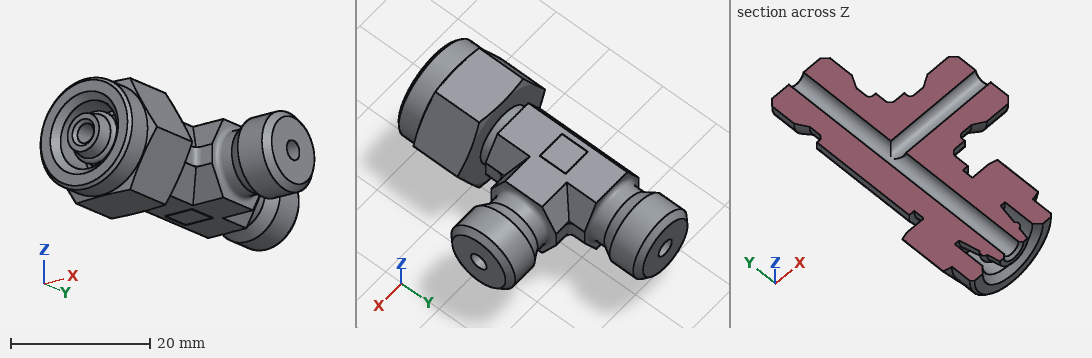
import cadquery as cq
import math


HUB_HEIGHT = 12.0
HUB_WIDTH = 12.15
HUB_REACH = 9.0
HUB_REAR = 9.55
CORNER_FILLET = 1.0

THREAD_RADIUS = HUB_HEIGHT / 2
END_REACH = 19.0
END_CHAMFER = 1.0
THREAD_LENGTH = 5.4
NECK_RADIUS = 4.85
RUNOUT_ANGLE = 30
NECK_FILLET = 0.75

PAD_X = 4.93
PAD_Y = 4.8
PAD_HEIGHT = 0.1

NUT_FLATS = 17.0
NUT_BACK = 11.4
NUT_HEX_END = 20.3
NUT_FACE = 24.37
NUT_CORNER_ANGLE = 15
NUT_STEM_RADIUS = 5.05
COLLAR_RADIUS = 8.35
COLLAR_CHAMFER = 0.5
NUT_BORE_RADIUS = 5.15
NUT_BORE_CHAMFER = 1.05

CONE_TIP = 24.6
CONE_TIP_RADIUS = 2.88
CONE_ROOT_RADIUS = 4.3
CONE_ANGLE = 12
CONE_ROOT = CONE_TIP - (CONE_ROOT_RADIUS - CONE_TIP_RADIUS) / math.tan(math.radians(CONE_ANGLE))
RING_CENTER_RADIUS = 3.23
RING_THICKNESS = 1.4
RING_SETBACK = 2.8

PASSAGE_RADIUS = 1.5
PASSAGE_CHAMFER = 0.52


def tangent(angle):
    return math.tan(math.radians(angle))


def turned(profile):
    """Solid turned about the Y axis from (radius, y) points."""
    return cq.Workplane("XY").polyline(profile).close().revolve(360, (0, 0, 0), (0, 1, 0))


def rod(radius, start, end):
    """Cylinder on the Y axis between two positions."""
    return turned([(0, start), (radius, start), (radius, end), (0, end)])


def as_branch(shape):
    """Turn a shape lying along +Y so that it points to +X."""
    return shape.rotate((0, 0, 0), (0, 0, 1), -90)


def hub_bar(start, end):
    """Hexagonal bar along Y with flats on top and bottom and cut side corners."""
    hexagon_diameter = 2 * HUB_HEIGHT / math.sqrt(3)
    bar = cq.Workplane("XZ").polygon(6, hexagon_diameter).extrude(start - end)
    cutter = cq.Workplane("XY").box(HUB_WIDTH, end - start, HUB_HEIGHT)
    return bar.translate((0, start, 0)).intersect(cutter.translate((0, (start + end) / 2, 0)))


def corner_web(side):
    """Concave fillet in the corner between the side flats, on the +Y or -Y side."""
    flat = HUB_WIDTH / 2
    half_height = HUB_HEIGHT - flat * math.sqrt(3)
    return (
        cq.Workplane("XY", origin=(0, 0, -half_height))
        .moveTo(flat, side * flat)
        .lineTo(flat + CORNER_FILLET, side * flat)
        .radiusArc((flat, side * (flat + CORNER_FILLET)), side * CORNER_FILLET)
        .close()
        .extrude(2 * half_height)
    )


def threaded_end():
    """Turned neck and plain thread body along +Y, seated on the hub shoulder."""
    thread_start = END_REACH - THREAD_LENGTH
    runout_start = thread_start - (THREAD_RADIUS - NECK_RADIUS) / tangent(RUNOUT_ANGLE)
    return (
        cq.Workplane("XY")
        .moveTo(0, 0)
        .lineTo(NECK_RADIUS, 0)
        .lineTo(NECK_RADIUS, HUB_REACH)
        .lineTo(NECK_RADIUS + NECK_FILLET, HUB_REACH)
        .radiusArc((NECK_RADIUS, HUB_REACH + NECK_FILLET), NECK_FILLET)
        .lineTo(NECK_RADIUS, runout_start)
        .lineTo(THREAD_RADIUS, thread_start)
        .lineTo(THREAD_RADIUS, END_REACH - END_CHAMFER)
        .lineTo(THREAD_RADIUS - END_CHAMFER, END_REACH)
        .lineTo(0, END_REACH)
        .close()
        .revolve(360, (0, 0, 0), (0, 1, 0))
    )


def nut():
    """Hexagon with bevelled corners and a round collar, before hollowing."""
    corner_radius = NUT_FLATS / math.sqrt(3)
    flat_radius = NUT_FLATS / 2
    bevel = (corner_radius - flat_radius) * tangent(NUT_CORNER_ANGLE)
    hexagon = (
        cq.Workplane("XZ", origin=(0, -NUT_BACK, 0))
        .polygon(6, 2 * corner_radius)
        .extrude(NUT_HEX_END - NUT_BACK)
    )
    bevel_envelope = turned([
        (0, -NUT_BACK),
        (flat_radius, -NUT_BACK),
        (corner_radius, -NUT_BACK - bevel),
        (corner_radius, -NUT_HEX_END + bevel),
        (flat_radius, -NUT_HEX_END),
        (0, -NUT_HEX_END),
    ])
    collar = turned([
        (0, -NUT_BACK),
        (COLLAR_RADIUS, -NUT_BACK),
        (COLLAR_RADIUS, -NUT_FACE + COLLAR_CHAMFER),
        (COLLAR_RADIUS - COLLAR_CHAMFER, -NUT_FACE),
        (0, -NUT_FACE),
    ])
    return hexagon.intersect(bevel_envelope).union(collar)


def nut_cavity():
    """Countersunk bore of the nut, down to the root of the sealing cone."""
    return turned([
        (0, -CONE_ROOT),
        (NUT_BORE_RADIUS, -CONE_ROOT),
        (NUT_BORE_RADIUS, -NUT_FACE + NUT_BORE_CHAMFER),
        (NUT_BORE_RADIUS + NUT_BORE_CHAMFER, -NUT_FACE),
        (0, -NUT_FACE),
    ])


def sealing_cone():
    """Tapered spigot standing on the cavity floor, with the O-ring around it."""
    spigot = turned([
        (0, -NUT_BACK),
        (CONE_ROOT_RADIUS, -NUT_BACK),
        (CONE_ROOT_RADIUS, -CONE_ROOT),
        (CONE_TIP_RADIUS, -CONE_TIP),
        (0, -CONE_TIP),
    ])
    ring = (
        cq.Workplane("XY")
        .center(RING_CENTER_RADIUS, RING_SETBACK - CONE_TIP)
        .circle(RING_THICKNESS / 2)
        .revolve(360, (-RING_CENTER_RADIUS, 0, 0), (-RING_CENTER_RADIUS, 1, 0))
    )
    return spigot.union(ring)


def passages():
    """Through passage along the run, countersunk at the cone tip, and the branch passage."""
    run = rod(PASSAGE_RADIUS, -CONE_TIP, END_REACH)
    countersink = turned([
        (0, -CONE_TIP),
        (PASSAGE_RADIUS + PASSAGE_CHAMFER, -CONE_TIP),
        (PASSAGE_RADIUS, -CONE_TIP + PASSAGE_CHAMFER),
        (0, -CONE_TIP + PASSAGE_CHAMFER),
    ])
    branch = as_branch(rod(PASSAGE_RADIUS, 0, END_REACH))
    return run.union(countersink).union(branch)


body = hub_bar(-HUB_REAR, HUB_REACH).union(as_branch(hub_bar(0, HUB_REACH)))
for side in (1, -1):
    body = body.union(corner_web(side))
body = body.union(cq.Workplane("XY").box(PAD_X, PAD_Y, HUB_HEIGHT + 2 * PAD_HEIGHT))

body = body.union(threaded_end()).union(as_branch(threaded_end()))

body = body.union(rod(NUT_STEM_RADIUS, -NUT_BACK, -HUB_REAR))
body = body.union(nut()).cut(nut_cavity()).union(sealing_cone())

result = body.cut(passages())